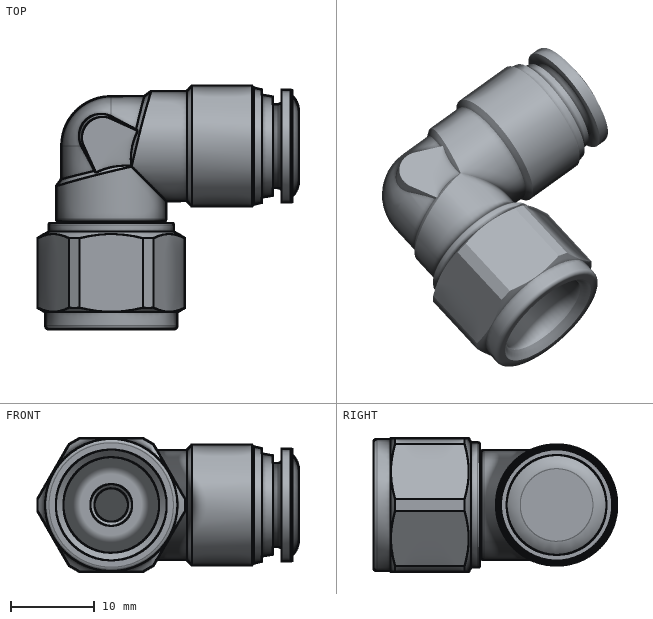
import cadquery as cq
import math

elbow_radius = 6.0
arm_radius = 6.6
arm_start = 3.0
arm_tilt = 15.0
arm_start_half_angle = 51.0
cone_centre_shift = 0.22
cone_height = 24.98

pad_height = elbow_radius
pad_round_radius = 2.47
pad_round_offset = 1.03
pad_flank_angle = 24.5
pad_reach = 3.75
pad_inner_corner = 2.37
pad_depth = 2.8
pad_draft = 13.0

sleeve_radius = 7.25
sleeve_start = 9.02
sleeve_bevel = 0.62
sleeve_end = 16.83
cap_start_radius = 7.15
cap_bevel_radius = 7.0
cap_bevel_length = 0.2
cap_end_radius = 6.77
cap_end = 17.98
collet_guide_start_radius = 6.15
collet_guide_end_radius = 5.93
collet_guide_end = 19.3
collet_neck_radius = 5.03
collet_neck_end = 20.32
collet_flare_length = 0.45
collet_flare_height = 0.2
collet_flange_radius = 6.75
collet_flange_end = 21.67
collet_rim_bevel_length = 0.25
collet_rim_bevel_height = 0.1
collet_nose_radius = 5.95
collet_nose_round = 2.8
collet_tip_radius = 4.35
collet_tip = 22.42

arm_end = 9.0
arm_end_round = 0.3
nut_neck_radius = 5.1
nut_start = 9.15
nut_collar_radius = 7.5
nut_collar_round = 0.28
hex_start = 10.2
hex_end = 19.82
hex_across_flats = 16.0
hex_across_corners = 17.6
hex_bevel_angle = 30.0
nut_rim_radius = 7.9
nut_rim_round = 0.47
nut_end = 21.9

bore_radius = 5.7
bore_mouth_radius = 6.62
bore_floor = 11.25
bore_bevel_depth = 0.9
hole_radius = 2.0
hole_mouth_radius = 2.5
hole_end = 0.0


def revolve_nut(profile):
    """Turn a closed (distance, radius) outline about the Y axis, distance running along -Y."""
    points = [(radius, -distance) for distance, radius in profile]
    return cq.Workplane("XY").polyline(points).close().revolve(360, (0, 0, 0), (0, 1, 0))


def thick_arm(length):
    """Arm along +X whose start is bevelled by a cone leaning with the arm tilt."""
    tilt = math.radians(arm_tilt)
    axis = cq.Vector(math.cos(tilt), -math.sin(tilt), 0)
    outward = cq.Vector(math.sin(tilt), math.cos(tilt), 0)
    slope = math.tan(math.radians(arm_start_half_angle))
    rim_centre = cq.Vector(arm_start, 0, 0) + outward * cone_centre_shift
    apex = rim_centre - axis * (arm_radius / slope)
    cone = cq.Solid.makeCone(0, cone_height * slope, cone_height, apex, axis)
    cylinder = cq.Workplane("YZ").circle(arm_radius).extrude(length)
    return cylinder.intersect(cq.Workplane(cone))


def swap_arms(shape):
    """Reflect across the plane x = -y, which carries the +X arm onto the -Y arm."""
    return shape.rotate((0, 0, 0), (0, 0, 1), 90).mirror("XZ")


def elbow():
    """Round elbow with a thick arm along +X and its mirrored twin along -Y."""
    x_tube = cq.Workplane("YZ").circle(elbow_radius).extrude(sleeve_start)
    y_tube = cq.Workplane("XZ").circle(elbow_radius).extrude(sleeve_start)
    x_arm = thick_arm(sleeve_start)
    y_arm = swap_arms(thick_arm(arm_end)).faces("<Y").edges().fillet(arm_end_round)
    return cq.Workplane().sphere(elbow_radius).union(x_tube).union(y_tube).union(x_arm).union(y_arm)


def marking_pad():
    """Flat pad on top of the elbow, pointing outwards along the diagonal x = -y, with drafted sides."""
    flank = math.radians(pad_flank_angle)
    tangent_x = pad_round_radius * math.sin(flank) - pad_round_offset
    tangent_y = pad_round_radius * math.cos(flank) + pad_round_offset
    end_y = tangent_y - (pad_reach - tangent_x) * math.tan(flank)
    diagonal_reach = pad_round_offset + pad_round_radius * math.sqrt(0.5)
    outline = (
        cq.Workplane("XY")
        .moveTo(pad_inner_corner, -pad_inner_corner)
        .lineTo(pad_reach, end_y)
        .lineTo(tangent_x, tangent_y)
        .threePointArc((-diagonal_reach, diagonal_reach), (-tangent_y, -tangent_x))
        .lineTo(-end_y, -pad_reach)
        .close()
    )
    return outline.extrude(-pad_depth, taper=-pad_draft).translate((0, 0, pad_height))


def push_in_end():
    """Sleeve, stepped cap and release collet at the +X end, turned about the X axis."""
    outline = (
        cq.Workplane("XY")
        .moveTo(sleeve_start, 0)
        .lineTo(sleeve_start, arm_radius)
        .lineTo(sleeve_start + sleeve_bevel, sleeve_radius)
        .lineTo(sleeve_end, sleeve_radius)
        .lineTo(sleeve_end, cap_start_radius)
        .lineTo(sleeve_end + cap_bevel_length, cap_bevel_radius)
        .lineTo(cap_end, cap_end_radius)
        .lineTo(cap_end, collet_guide_start_radius)
        .lineTo(collet_guide_end, collet_guide_end_radius)
        .lineTo(collet_guide_end, collet_neck_radius)
        .lineTo(collet_neck_end - collet_flare_length, collet_neck_radius)
        .tangentArcPoint((collet_flare_length, collet_flare_height))
        .lineTo(collet_neck_end, collet_flange_radius)
        .lineTo(collet_flange_end - collet_rim_bevel_length, collet_flange_radius)
        .lineTo(collet_flange_end, collet_flange_radius - collet_rim_bevel_height)
        .lineTo(collet_flange_end, collet_nose_radius)
        .radiusArc((collet_tip, collet_tip_radius), collet_nose_round)
        .lineTo(collet_tip, 0)
        .close()
    )
    return outline.revolve(360, (0, 0, 0), (1, 0, 0))


def hex_prism(width, turn):
    """Hexagonal prism along the wrench length of the nut, width measured across its flats."""
    end_plane = cq.Workplane("XZ", origin=(0, -hex_start, 0)).transformed(rotate=(0, 0, turn))
    return end_plane.polygon(6, width, circumscribed=True).extrude(hex_end - hex_start)


def hexagon():
    """Hexagon of the nut with its corners cut flat and both ends bevelled by cones."""
    flats = hex_prism(hex_across_flats, 30)
    corners = hex_prism(hex_across_corners, 0)
    widest = hex_across_corners
    bevel_slope = math.tan(math.radians(hex_bevel_angle))
    bevels = revolve_nut([
        (hex_start, 0),
        (hex_start, nut_collar_radius),
        (hex_start + (widest - nut_collar_radius) * bevel_slope, widest),
        (hex_end - (widest - nut_rim_radius) * bevel_slope, widest),
        (hex_end, nut_rim_radius),
        (hex_end, 0),
    ])
    return flats.intersect(corners).intersect(bevels)


def cylinder_y(start, end, radius):
    """Cylinder about the Y axis between two distances along -Y."""
    return cq.Workplane("XZ", origin=(0, -start, 0)).circle(radius).extrude(end - start)


def swivel_nut():
    """Neck, rounded collar, hexagon and rounded rim of the nut."""
    neck = cylinder_y(0, hex_start, nut_neck_radius)
    collar = cylinder_y(nut_start, hex_start, nut_collar_radius).faces(">Y").edges().fillet(nut_collar_round)
    rim = cylinder_y(hex_end, nut_end, nut_rim_radius).faces("<Y").edges().fillet(nut_rim_round)
    return neck.union(collar).union(hexagon()).union(rim)


def nut_bore():
    """Plain bore with a bevelled mouth, and the flow hole in its floor."""
    hole_bevel = hole_mouth_radius - hole_radius
    return revolve_nut([
        (nut_end, 0),
        (nut_end, bore_mouth_radius),
        (nut_end - bore_bevel_depth, bore_radius),
        (bore_floor, bore_radius),
        (bore_floor, hole_mouth_radius),
        (bore_floor - hole_bevel, hole_radius),
        (hole_end, hole_radius),
        (hole_end, 0),
    ])


upper_pad = marking_pad()
lower_pad = upper_pad.mirror("XY")
body = elbow().union(upper_pad).union(lower_pad).union(push_in_end()).union(swivel_nut())
result = body.cut(nut_bore())